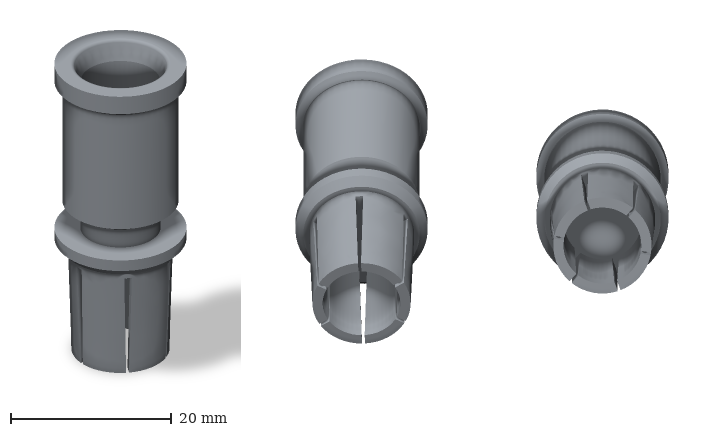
import cadquery as cq
import math

total_height = 41.1
sleeve_top = 14.9
collar_edge = 15.95
collar_top = 17.45
neck_top = 20.05
body_bottom = 21.4
body_top = 37.98
flange_edge = 38.6

flange_radius = 16.5 / 2
body_radius = 14.5 / 2
flange_root_radius = 7.35
neck_radius = 5.0
sleeve_top_radius = 6.58
sleeve_end_radius = 6.12

mouth_radius = 6.25
throat_radius = 5.75
socket_radius = 4.97
floor_radius = 4.5
mouth_depth = 0.35
throat_depth = 2.55
socket_depth = 14.8
drill_point_angle = 118.0

finger_bore_radius = 4.85
slot_count = 6
slot_top = 13.9
slot_top_width = 0.95
slot_end_width = 0.35


def revolve_profile(points):
    """Revolve a closed (radius, height) outline about the Z axis."""
    return cq.Workplane("XZ").polyline(points).close().revolve(360, (0, 0), (0, 1))


def make_outer_body():
    return revolve_profile([
        (0, 0),
        (sleeve_end_radius, 0),
        (sleeve_top_radius, sleeve_top),
        (body_radius, sleeve_top),
        (flange_radius, collar_edge),
        (flange_radius, collar_top),
        (neck_radius, collar_top),
        (neck_radius, neck_top),
        (body_radius, body_bottom),
        (body_radius, body_top),
        (flange_root_radius, body_top),
        (flange_radius, flange_edge),
        (flange_radius, total_height),
        (0, total_height),
    ])


def make_socket():
    """Flared blind hole with a drill-point floor and a round blending wall into floor."""
    floor_height = total_height - socket_depth
    point_depth = floor_radius / math.tan(math.radians(drill_point_angle / 2))
    floor_turn = math.radians(drill_point_angle / 2)
    floor_round = (socket_radius - floor_radius) / (1 - math.cos(floor_turn))
    round_center_radius = socket_radius - floor_round
    round_center_height = floor_height + floor_round * math.sin(floor_turn)
    floor_round_middle = (
        round_center_radius + floor_round * math.cos(floor_turn / 2),
        round_center_height - floor_round * math.sin(floor_turn / 2),
    )
    rounded_mouth_start = (mouth_radius, total_height)
    rounded_mouth_end = (throat_radius, total_height - mouth_depth)
    rim_width = mouth_radius - throat_radius
    rim_radius = (rim_width**2 + mouth_depth**2) / (2 * mouth_depth)
    half_angle = math.asin(rim_width / rim_radius) / 2
    rounded_mouth_middle = (
        mouth_radius - rim_radius * math.sin(half_angle),
        total_height - rim_radius * (1 - math.cos(half_angle)),
    )
    return (
        cq.Workplane("XZ")
        .moveTo(0, total_height)
        .lineTo(*rounded_mouth_start)
        .threePointArc(rounded_mouth_middle, rounded_mouth_end)
        .lineTo(socket_radius, total_height - throat_depth)
        .lineTo(socket_radius, round_center_height)
        .threePointArc(floor_round_middle, (floor_radius, floor_height))
        .lineTo(0, floor_height - point_depth)
        .close()
        .revolve(360, (0, 0), (0, 1))
    )


def make_finger_bore():
    """Straight bore behind the fingers, ending level with the slots."""
    return cq.Workplane("XY").circle(finger_bore_radius).extrude(slot_top)


def make_slot(angle):
    """Radial slot that narrows toward the finger tips."""
    return (
        cq.Workplane("YZ")
        .polyline([
            (-slot_end_width / 2, 0),
            (slot_end_width / 2, 0),
            (slot_top_width / 2, slot_top),
            (-slot_top_width / 2, slot_top),
        ])
        .close()
        .extrude(flange_radius)
        .rotate((0, 0, 0), (0, 0, 1), angle)
    )


result = make_outer_body().cut(make_socket()).cut(make_finger_bore())
for index in range(slot_count):
    result = result.cut(make_slot(index * 360 / slot_count))